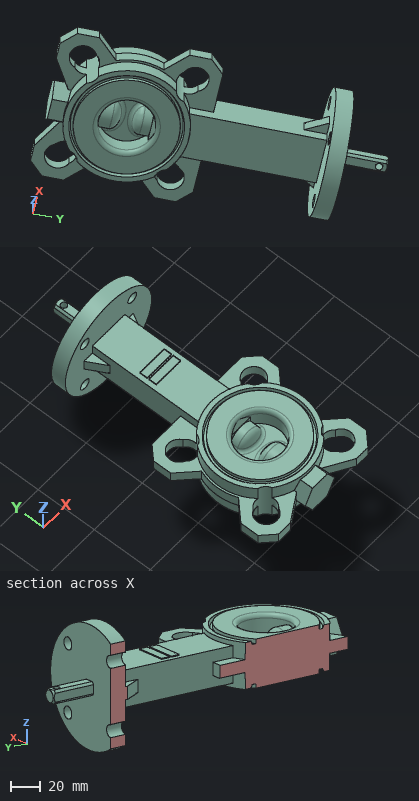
import cadquery as cq
import math


overall_length = 237.5
lug_span = 113.0
lug_thickness = 9.5
top_of_stem = overall_length - lug_span / 2

body_radius = 43.2
body_height = 33.7
waist_radius = 45.0
seat_radius = 36.3
seat_height = 35.5
groove_floor_radius = 38.2
groove_mouth_radius = 39.2
groove_depth = 2.4

bore_radius = 19.5
bore_lip = 3.3
bore_rim_radius = bore_radius + bore_lip

disc_thickness = 4.3
hub_radius = 11.9
hub_inner_end = 3.5
hub_dome_length = 7.0
hub_root_round = 3.0

pad_face = 16.9
pad_edge_height = 11.9
pad_back = 20.5
pad_back_height = 16.6

lug_corner = 10.0
lug_side_end = 31.4
lug_bottom_end = 34.5
lower_lug_angle = 31.0
bolt_offset = 39.0
bolt_hole_radius = 9.3
inner_bolt_offset = 35.6
inner_bolt_radius = 8.8

neck_width = 33.7
neck_thickness = 26.8
plug_end = -53.5

flange_diameter = 90.0
flange_thickness = 12.5
flange_top = 147.7
flange_bottom = flange_top - flange_thickness
flange_bolt_offset = 24.7
flange_hole_diameter = 9.0

rib_half_span = 25.6
rib_foot = 119.2
rib_thickness = 9.5

stem_radius = 6.0
stem_width = 10.0
stem_tip_chamfer = 1.5
stem_hole_diameter = 5.0
stem_hole_setback = 6.0

label_width = 25.5
label_length = 6.6
label_raise = 0.7
label_places = (93.0, 85.0)


def prism_along_y(sketch_plane_y):
    """Workplane across the stem axis at the given Y, extruding towards +Y."""
    return cq.Workplane("XZ", origin=(0, sketch_plane_y, 0)).transformed(rotate=(180, 0, 0))


def slab(workplane, thickness):
    """Extrude a sketch evenly to both sides of its plane."""
    return workplane.extrude(thickness / 2, both=True)


def make_body():
    body = slab(cq.Workplane("XY").circle(body_radius), body_height)
    seat = slab(cq.Workplane("XY").circle(seat_radius), seat_height)
    face = body_height / 2
    floor = face - groove_depth
    groove = (
        cq.Workplane("XZ")
        .polyline([
            (seat_radius, floor),
            (groove_floor_radius, floor),
            (groove_mouth_radius, face),
            (seat_radius, face),
        ])
        .close()
        .revolve(360, (0, 0, 0), (0, 1, 0))
    )
    return body.union(seat).cut(groove).cut(groove.mirror("XY"))


def make_lug_plate():
    half = lug_span / 2
    corner = half - lug_corner
    waist = half - lug_side_end
    lower_notch = -half + lug_bottom_end * math.tan(math.radians(lower_lug_angle))
    right_side = [
        (corner, half),
        (half, corner),
        (half, lug_side_end),
        (waist, 0),
        (half, -lug_side_end),
        (half, -corner),
        (corner, -half),
        (lug_bottom_end, -half),
    ]
    left_side = [(-x, y) for x, y in reversed(right_side)]
    outline = right_side + [(0, lower_notch)] + left_side
    plate = slab(cq.Workplane("XY").polyline(outline).close(), lug_thickness)
    return plate.union(slab(cq.Workplane("XY").circle(waist_radius), lug_thickness))


def make_bolt_holes():
    holes = cq.Workplane("XY")
    for offset, radius in ((bolt_offset, bolt_hole_radius), (inner_bolt_offset, inner_bolt_radius)):
        pattern = cq.Workplane("XY").rect(2 * offset, 2 * offset, forConstruction=True)
        holes = holes.add(slab(pattern.vertices().circle(radius), seat_height))
    return holes.combine()


def make_neck():
    neck = cq.Workplane("XY").box(
        neck_width, flange_bottom, neck_thickness, centered=(True, False, True)
    )
    ribs = slab(
        cq.Workplane("XY")
        .polyline([
            (-rib_half_span, flange_bottom),
            (rib_half_span, flange_bottom),
            (neck_width / 2, rib_foot),
            (-neck_width / 2, rib_foot),
        ])
        .close(),
        rib_thickness,
    )
    labels = (
        cq.Workplane("XY", origin=(0, 0, neck_thickness / 2))
        .pushPoints([(0, y) for y in label_places])
        .rect(label_width, label_length)
        .extrude(label_raise)
    )
    return neck.union(ribs).union(labels)


def make_plug():
    across_corners = neck_thickness / math.cos(math.radians(30))
    return prism_along_y(plug_end).polygon(6, across_corners).extrude(-plug_end)


def make_flange():
    flange = prism_along_y(flange_bottom).circle(flange_diameter / 2).extrude(flange_thickness)
    holes = (
        prism_along_y(flange_bottom)
        .rect(2 * flange_bolt_offset, 2 * flange_bolt_offset, forConstruction=True)
        .vertices()
        .circle(flange_hole_diameter / 2)
        .extrude(flange_thickness)
    )
    return flange.cut(holes)


def make_stem():
    length = top_of_stem - flange_bottom
    round_bar = (
        prism_along_y(flange_bottom)
        .circle(stem_radius)
        .extrude(length)
        .faces(">Y")
        .chamfer(stem_tip_chamfer)
    )
    square_bar = prism_along_y(flange_bottom).rect(stem_width, stem_width).extrude(length)
    cross_hole = slab(
        cq.Workplane("XY")
        .center(0, top_of_stem - stem_hole_setback)
        .circle(stem_hole_diameter / 2),
        stem_width,
    )
    return round_bar.intersect(square_bar).cut(cross_hole)


def make_bore():
    half = seat_height / 2
    lip_middle = bore_lip * (1 - math.sqrt(0.5))
    return (
        cq.Workplane("XZ")
        .moveTo(0, -half)
        .lineTo(bore_rim_radius, -half)
        .threePointArc((bore_radius + lip_middle, -half + lip_middle), (bore_radius, -half + bore_lip))
        .lineTo(bore_radius, half - bore_lip)
        .threePointArc((bore_radius + lip_middle, half - lip_middle), (bore_rim_radius, half))
        .lineTo(0, half)
        .close()
        .revolve(360, (0, 0, 0), (0, 1, 0))
    )


def make_disc():
    """Closed disc with two stem hubs, oversized so that trimming to the bore joins it to the wall."""
    reach = bore_rim_radius + hub_root_round
    disc = slab(cq.Workplane("XY").circle(reach), disc_thickness)
    hub = (
        cq.Workplane("XY")
        .moveTo(0, reach)
        .lineTo(hub_radius, reach)
        .lineTo(hub_radius, hub_inner_end + hub_dome_length)
        .ellipseArc(hub_radius, hub_dome_length, 270, 360, sense=-1)
        .close()
        .revolve(360, (0, 0, 0), (0, 1, 0))
    )
    disc = disc.union(hub).union(hub.mirror("XZ"))
    side = hub_radius + hub_root_round
    root_zone = cq.selectors.BoxSelector(
        (-side, -bore_rim_radius, -disc_thickness),
        (side, bore_rim_radius, disc_thickness),
    )
    return disc.edges(root_zone).fillet(hub_root_round)


def make_stem_pad():
    """Flat pad on the bore wall at the stem side, with sloped upper and lower ends."""
    pad_width = 2 * math.sqrt(bore_rim_radius**2 - pad_face**2)
    return slab(
        cq.Workplane("YZ")
        .polyline([
            (pad_face, -pad_edge_height),
            (pad_face, pad_edge_height),
            (pad_back, pad_back_height),
            (bore_rim_radius, pad_back_height),
            (bore_rim_radius, -pad_back_height),
            (pad_back, -pad_back_height),
        ])
        .close(),
        pad_width,
    )


bore = make_bore()
housing = make_body().union(make_lug_plate()).union(make_neck()).union(make_plug())
housing = housing.cut(bore).cut(make_bolt_holes())
closure = make_disc().union(make_stem_pad()).intersect(bore)

result = housing.union(closure).union(make_flange()).union(make_stem())